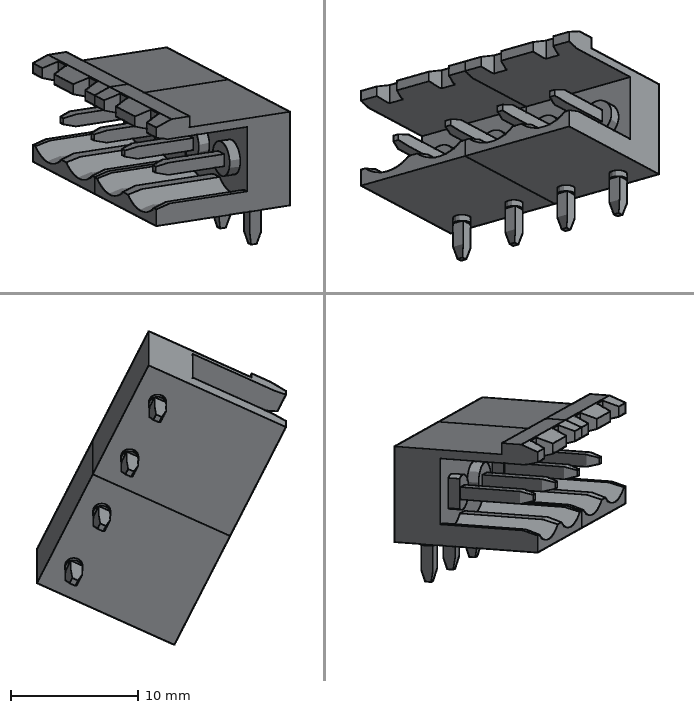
import cadquery as cq


HEADER_COUNT = 2
POLES_PER_HEADER = 2
POLE_PITCH = 5.08
HEADER_WIDTH = POLES_PER_HEADER * POLE_PITCH

HOUSING_DEPTH = 12.0
HOUSING_HEIGHT = 7.7
BACK_WALL = 3.85
SHELF_HEIGHT = 1.7
SHELF_NOSE_LENGTH = 1.2
SHELF_NOSE_DROP = 0.32
ROOF_UNDERSIDE = 7.0
ROOF_NOSE_LENGTH = 1.0
ROOF_NOSE_RISE = 0.27
LIP_HEIGHT = 8.6
LIP_LENGTH = 3.0
LIP_NOSE_LENGTH = 1.35
LIP_NOSE_DROP = 0.5

NOTCH_DEPTH = 1.25
NOTCH_BACK_WIDTH = 1.25
NOTCH_FRONT_WIDTH = 1.95

CONTACT_AXIS_HEIGHT = 3.87
CHANNEL_RADIUS = 2.95
BOSS_DIAMETER = 2.8
BOSS_LENGTH = 0.95
BOSS_FLAT_OFFSET = 0.7

PIN_SIZE = 1.0
TIP_SIZE = 0.5
TIP_LENGTH = 1.0
CONTACT_PIN_LENGTH = 5.0

SOLDER_PIN_SETBACK = 2.0
SOLDER_PIN_LENGTH = 2.0
COLLAR_DIAMETER = 1.4
COLLAR_HEIGHT = 0.5


def plane_facing_front(y, x=0.0, z=0.0):
    """XZ workplane at depth y whose normal points to the front (-Y)."""
    return cq.Workplane("XZ", origin=(x, y, z))


def housing_block():
    """Side profile with back wall, shelf, roof and lip, extruded across the header width."""
    front = -HOUSING_DEPTH
    profile = [
        (0, 0),
        (front, 0),
        (front, SHELF_HEIGHT - SHELF_NOSE_DROP),
        (front + SHELF_NOSE_LENGTH, SHELF_HEIGHT),
        (-BACK_WALL, SHELF_HEIGHT),
        (-BACK_WALL, ROOF_UNDERSIDE),
        (front + ROOF_NOSE_LENGTH, ROOF_UNDERSIDE),
        (front, ROOF_UNDERSIDE + ROOF_NOSE_RISE),
        (front, LIP_HEIGHT - LIP_NOSE_DROP),
        (front + LIP_NOSE_LENGTH, LIP_HEIGHT),
        (front + LIP_LENGTH, LIP_HEIGHT),
        (front + LIP_LENGTH, HOUSING_HEIGHT),
        (0, HOUSING_HEIGHT),
    ]
    return cq.Workplane("YZ").polyline(profile).close().extrude(HEADER_WIDTH)


def plug_channel(x):
    """Half-round channel along the shelf, flared where the shelf nose slopes down."""
    front = -HOUSING_DEPTH
    half_section = [
        (0, -BACK_WALL),
        (CHANNEL_RADIUS, -BACK_WALL),
        (CHANNEL_RADIUS, front + SHELF_NOSE_LENGTH),
        (CHANNEL_RADIUS + SHELF_NOSE_DROP, front),
        (0, front),
    ]
    return (
        cq.Workplane("XY", origin=(x, 0, CONTACT_AXIS_HEIGHT))
        .polyline(half_section)
        .close()
        .revolve(180, (0, 0), (0, 1))
    )


def lip_notch(x):
    """Notch through the roof lip, widening towards the front."""
    front = -HOUSING_DEPTH
    back = front + NOTCH_DEPTH
    outline = [
        (x - NOTCH_FRONT_WIDTH / 2, front),
        (x + NOTCH_FRONT_WIDTH / 2, front),
        (x + NOTCH_BACK_WIDTH / 2, back),
        (x - NOTCH_BACK_WIDTH / 2, back),
    ]
    return (
        cq.Workplane("XY", origin=(0, 0, ROOF_UNDERSIDE))
        .polyline(outline)
        .close()
        .extrude(LIP_HEIGHT - ROOF_UNDERSIDE)
    )


def contact_boss(x, has_flat):
    """Round boss on the back wall, optionally cut flat on its -X side."""
    start = plane_facing_front(-BACK_WALL, x, CONTACT_AXIS_HEIGHT)
    boss = start.circle(BOSS_DIAMETER / 2).extrude(BOSS_LENGTH)
    if has_flat:
        beyond_flat = start.center(-BOSS_FLAT_OFFSET - BOSS_DIAMETER / 2, 0)
        boss = boss.cut(beyond_flat.rect(BOSS_DIAMETER, BOSS_DIAMETER).extrude(BOSS_LENGTH))
    return boss


def square_pin(start, straight_length):
    """Square pin with a tapered tip, growing along the normal of the start workplane."""
    shank = start.rect(PIN_SIZE, PIN_SIZE).extrude(straight_length)
    tip = (
        start.workplane(offset=straight_length)
        .rect(PIN_SIZE, PIN_SIZE)
        .workplane(offset=TIP_LENGTH)
        .rect(TIP_SIZE, TIP_SIZE)
        .loft(ruled=True)
    )
    return shank.union(tip)


def contact_pin(x):
    """Pin pointing to the front from the face of the boss."""
    start = plane_facing_front(-BACK_WALL - BOSS_LENGTH, x, CONTACT_AXIS_HEIGHT)
    return square_pin(start, CONTACT_PIN_LENGTH)


def solder_pin(x):
    """Pin pointing down from a round collar under the housing."""
    y = -SOLDER_PIN_SETBACK
    collar = cq.Workplane("XY", origin=(x, y, 0)).circle(COLLAR_DIAMETER / 2).extrude(-COLLAR_HEIGHT)
    below_collar = cq.Plane(origin=(x, y, -COLLAR_HEIGHT), xDir=(1, 0, 0), normal=(0, 0, -1))
    return collar.union(square_pin(cq.Workplane(below_collar), SOLDER_PIN_LENGTH))


def header():
    """One complete header with its left edge at x = 0."""
    body = housing_block()
    for pole in range(POLES_PER_HEADER):
        x = (pole + 0.5) * POLE_PITCH
        is_first_pole = pole == 0
        body = body.cut(plug_channel(x)).cut(lip_notch(x))
        body = body.union(contact_boss(x, has_flat=is_first_pole))
        body = body.union(contact_pin(x)).union(solder_pin(x))
    return body


headers = []
for index in range(HEADER_COUNT):
    left_edge = (index - HEADER_COUNT / 2) * HEADER_WIDTH
    headers.append(header().translate((left_edge, 0, 0)))

result = cq.Compound.makeCompound([single.solids().val() for single in headers])